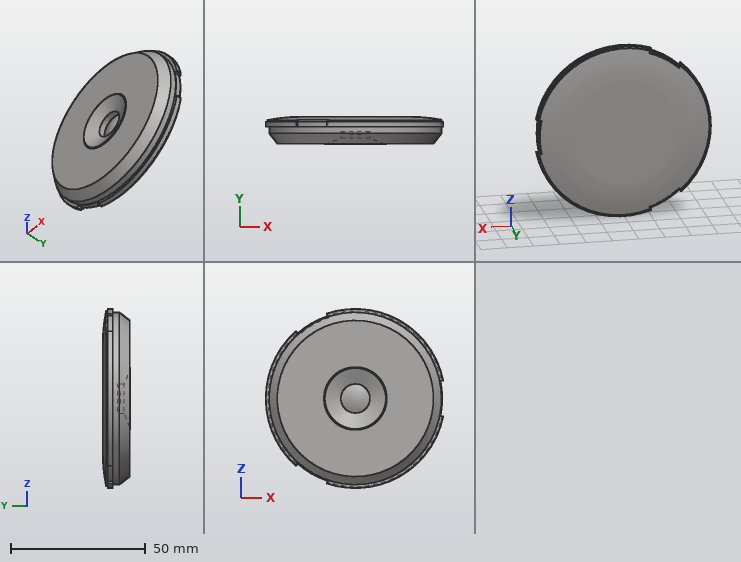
import cadquery as cq
import math

LIP_HEIGHT = 0.2
BEVEL_DEPTH = 3.82
FLANGE_FRONT = 6.25
FLANGE_BACK = 8.25
CROWN_EDGE = 8.82
TOTAL_DEPTH = 10.26
BACK = TOTAL_DEPTH - LIP_HEIGHT

FACE_RADIUS = 29.0
BODY_RADIUS = 32.0
FLANGE_RADIUS = 33.32
STEP_RADIUS = 32.65
BACK_FLAT_RADIUS = 20.5

LIP_OUTER_RADIUS = 11.7
LIP_INNER_RADIUS = 11.3
WELL_RADIUS = 5.4
WELL_RIM = 2.2
WELL_FLOOR = 4.7
DOME_APEX = 3.45

NOTCH_COUNT = 3
NOTCH_WIDTH = 13.0
CUTTER_MARGIN = 1.0
FLANGE_NOTCH_RADIUS = 32.3
STEP_NOTCH_RADIUS = 31.7


def make_disc():
    """Solid of revolution about Y: bevelled front, flange, stepped shoulder, crowned back."""
    lip_edge = (LIP_INNER_RADIUS, -LIP_HEIGHT)
    well_rim = (WELL_RADIUS, WELL_RIM)

    dome_rise = WELL_FLOOR - DOME_APEX
    dome_sphere = (WELL_RADIUS ** 2 + dome_rise ** 2) / (2 * dome_rise)
    dome_half_radius = WELL_RADIUS / 2
    dome_half_drop = dome_sphere - math.sqrt(dome_sphere ** 2 - dome_half_radius ** 2)

    profile = (
        cq.Workplane("XY")
        .moveTo(0, DOME_APEX)
        .threePointArc((dome_half_radius, DOME_APEX + dome_half_drop), (WELL_RADIUS, WELL_FLOOR))
        .lineTo(*well_rim)
        .lineTo(*lip_edge)
        .lineTo(LIP_OUTER_RADIUS, 0)
        .lineTo(FACE_RADIUS, 0)
        .lineTo(BODY_RADIUS, BEVEL_DEPTH)
        .lineTo(BODY_RADIUS, FLANGE_FRONT)
        .lineTo(FLANGE_RADIUS, FLANGE_FRONT)
        .lineTo(FLANGE_RADIUS, FLANGE_BACK)
        .lineTo(STEP_RADIUS, FLANGE_BACK)
        .lineTo(STEP_RADIUS, CROWN_EDGE)
    )
    crown_run = STEP_RADIUS - BACK_FLAT_RADIUS
    crown_drop = BACK - CROWN_EDGE
    crown_arc_radius = (crown_run ** 2 + crown_drop ** 2) / (2 * crown_drop)
    half_run = crown_run / 2
    half_drop = crown_arc_radius - math.sqrt(crown_arc_radius ** 2 - half_run ** 2)
    profile = (
        profile
        .threePointArc((BACK_FLAT_RADIUS + half_run, BACK - half_drop), (BACK_FLAT_RADIUS, BACK))
        .lineTo(0, BACK)
        .close()
    )
    return profile.revolve(360, (0, 0), (0, 1))


def make_notch_layer(front, back, floor_radius):
    """Parallel-sided cutter on the +X side, between two heights and outside floor_radius."""
    depth = back - front
    block = (
        cq.Workplane("XY")
        .box(FLANGE_RADIUS + CUTTER_MARGIN, depth, NOTCH_WIDTH, centered=(False, False, True))
        .translate((0, front, 0))
    )
    core = cq.Workplane("XZ", origin=(0, front, 0)).circle(floor_radius).extrude(-depth)
    return block.cut(core)


def make_notch():
    """Notch through flange and step; the step is cut slightly deeper, leaving a narrow ledge."""
    flange_layer = make_notch_layer(FLANGE_FRONT, FLANGE_BACK, FLANGE_NOTCH_RADIUS)
    step_layer = make_notch_layer(FLANGE_BACK, BACK, STEP_NOTCH_RADIUS)
    return flange_layer.union(step_layer)


result = make_disc()
notch = make_notch()
for index in range(NOTCH_COUNT):
    angle = index * 360 / NOTCH_COUNT
    result = result.cut(notch.rotate((0, 0, 0), (0, 1, 0), angle))